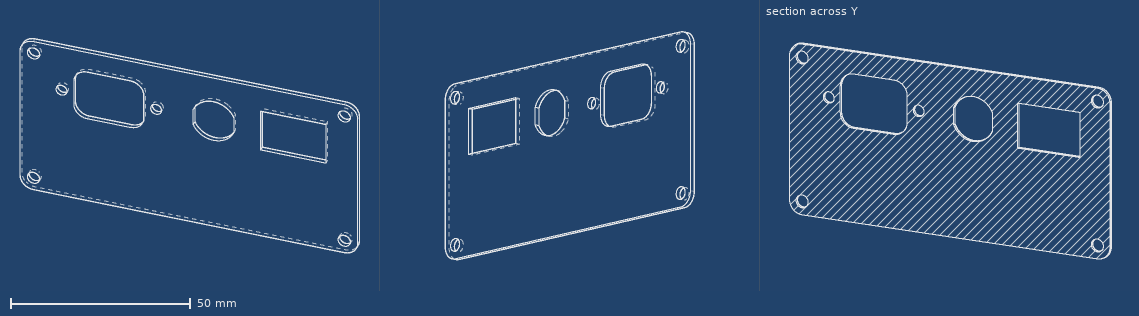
import cadquery as cq

plate_length = 100.0
plate_height = 50.0
plate_thickness = 1.5
corner_radius = 4.0

mount_hole_diameter = 3.6
mount_edge_distance = 4.0
mount_spacing_x = plate_length - 2 * mount_edge_distance
mount_spacing_z = plate_height - 2 * mount_edge_distance

cutout_z = 10.5

inlet_x = -23.7
inlet_width = 20.7
inlet_height = 15.7
inlet_corner_radius = 4.0
inlet_hole_diameter = 3.2
inlet_hole_spacing = 28.0

round_x = 7.3
round_diameter = 13.0
round_width_across_flats = 12.0

switch_x = 30.9
switch_width = 19.3
switch_height = 13.0


def block(width, height, x=0.0, z=0.0):
    """Box through the plate thickness, centred at (x, z)."""
    return cq.Workplane("XY").box(width, plate_thickness, height).translate((x, 0, z))


def pin(diameter, x, z):
    """Cylinder through the plate thickness, centred at (x, z)."""
    disc = cq.Workplane("XZ").circle(diameter / 2)
    return disc.extrude(plate_thickness / 2, both=True).translate((x, 0, z))


plate = block(plate_length, plate_height).edges("|Y").fillet(corner_radius)

for side_x in (-1, 1):
    for side_z in (-1, 1):
        plate = plate.cut(
            pin(mount_hole_diameter, side_x * mount_spacing_x / 2, side_z * mount_spacing_z / 2)
        )

inlet = block(inlet_width, inlet_height, inlet_x, cutout_z)
plate = plate.cut(inlet.edges("|Y").fillet(inlet_corner_radius))
for side_x in (-1, 1):
    hole_x = inlet_x + side_x * inlet_hole_spacing / 2
    plate = plate.cut(pin(inlet_hole_diameter, hole_x, cutout_z))

flats = block(round_width_across_flats, round_diameter, round_x, cutout_z)
plate = plate.cut(pin(round_diameter, round_x, cutout_z).intersect(flats))

plate = plate.cut(block(switch_width, switch_height, switch_x, cutout_z))

result = plate